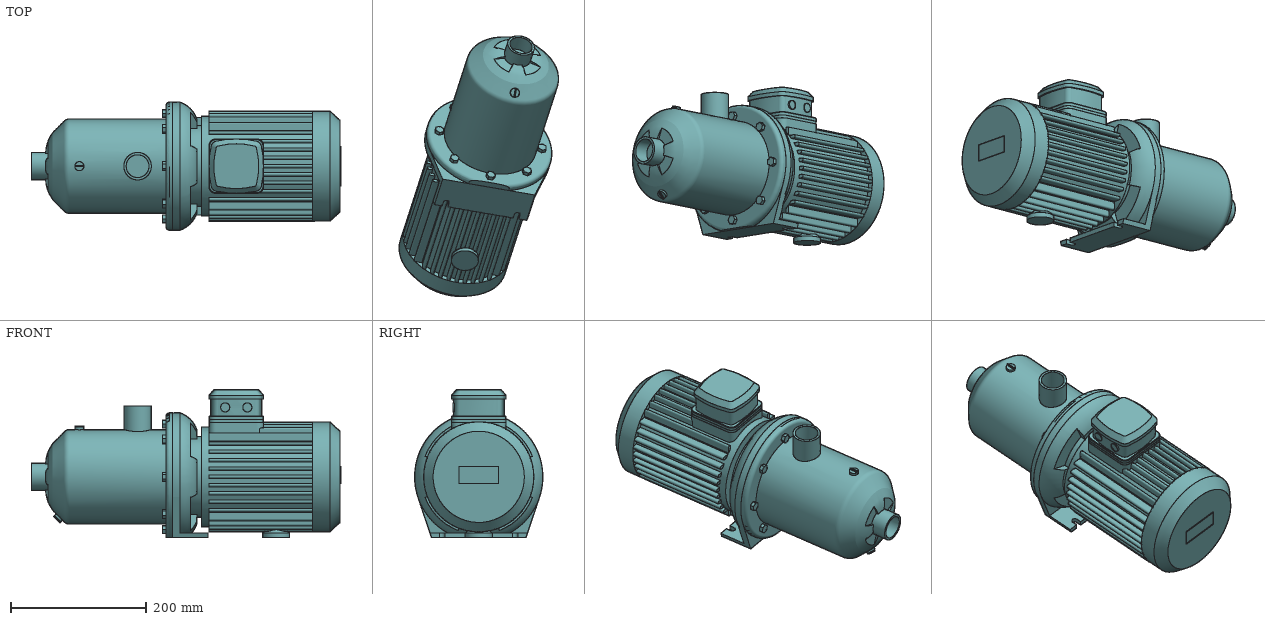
import cadquery as cq
import math


SLOPE_45 = math.radians(45)

casing_radius = 140 / 2
crown_start_x = 20.9
crown_middle_x = 25.2
crown_middle_radius = 39
crown_end_x = 31.7
crown_end_radius = 50
shoulder_fillet = 10
pipe_radius = 40.7 / 2
bore_radius = 33.7 / 2
outlet_x = 157
outlet_top_z = 105

recess_floor_x = 24.5
recess_radius = 40
recess_start_angle = 20
recess_end_angle = 70
recess_count = 4

plug_diameter = 13.5
plug_height = 3.5
plug_rib_width = 1.6
plug_rib_height = 2
fill_plug_x = 70.8
drain_plug_radius = 59.5

flange_radius = 190 / 2
flange_x = 199
flange_thickness = 9.5
flange_fillet = 5.5
joint_x = flange_x + flange_thickness
base_z = -90

screw_count = 8
screw_circle_radius = 78
screw_corner_diameter = 13.5
screw_head_height = 5.5

lantern_rim_thickness = 11
dome_start_x = joint_x + lantern_rim_thickness
dome_end_x = 244.7
dome_end_radius = 70
dome_arc_radius = 41
window_floor_x = 235.3
window_start_angle = 21
window_end_angle = 69
window_count = 4
neck_radius = 120 / 2
foot_half_width = 70
foot_thickness = 7
foot_end_x = 261.5
foot_slot_y = 54
foot_slot_width = 8.5
foot_slot_round_x = 253.5

motor_flange_x = 251.5
fins_start_x = 262.4
fins_end_x = 415.6
core_radius = 148 / 2
motor_radius = 163 / 2
fan_cover_chamfer_x = 441.8
motor_end_x = 456.8
motor_end_radius = 67.5
fin_thickness = 5.2
fin_pitch = 12.3
fins_each_side = 4

overall_length = 458
plate_width = 58
plate_height = 25
plate_z = 2.7

button_x = 362
button_radius = 40 / 2
button_shoulder_z = -83.3
button_chamfer = 8

box_x = 303
box_base_width = 80.6
box_base_corner = 10
box_base_top_z = 90
box_base_chamfer = 1
seam_bottom_z = 80.6
seam_top_z = 84.7
seam_depth = 0.3
box_wall_top_z = 115
lid_edge_top_z = 120.7
lid_top_z = 129
box_corner_start = 27
box_wall_half_width = 37.8
box_wall_corner_edge = 34.8
lid_half_width = 40.5
lid_corner_edge = 37.5
lid_top_corner_start = 26
lid_top_half_width = 33.2
lid_top_corner_edge = 30
gland_diameter = 13.5
gland_spacing = 32.7
gland_z = 102.8
gland_face_y = -38.4


def disc(radius, start_x, end_x):
    """Cylinder on the shaft axis between two X positions."""
    return cq.Workplane("YZ", origin=(start_x, 0, 0)).circle(radius).extrude(end_x - start_x)


def ring_of_sectors(count, start_angle, end_angle, radius, start_x, end_x):
    """Equal sectors of a disc; the angles give the first one and the others are turned from it."""
    corners = [(0, 0)]
    for angle in (start_angle, end_angle):
        direction = math.radians(angle)
        corners.append((2 * radius * math.cos(direction), 2 * radius * math.sin(direction)))
    wedge = cq.Workplane("YZ", origin=(start_x, 0, 0)).polyline(corners).close().extrude(end_x - start_x)
    sector = wedge.intersect(disc(radius, start_x, end_x))
    sectors = sector
    for index in range(1, count):
        sectors = sectors.add(sector.rotate((0, 0, 0), (1, 0, 0), index * 360 / count))
    return sectors.combine()


def trim_at_base(shape):
    """Cut off whatever hangs below the standing surface."""
    below_base = cq.Workplane("XY", origin=(joint_x, 0, base_z - flange_radius)).box(
        2 * flange_radius, 2 * flange_radius, 2 * flange_radius
    )
    return shape.cut(below_base)



def make_casing_shell():
    """Domed crown, 45 degree cone, rounded shoulder and long cylinder."""
    fillet_drop = shoulder_fillet * (1 - math.cos(SLOPE_45))
    cone_end_radius = casing_radius - fillet_drop
    cone_end_x = crown_end_x + cone_end_radius - crown_end_radius
    shoulder_x = cone_end_x + shoulder_fillet * math.sin(SLOPE_45)
    half_turn = SLOPE_45 / 2
    fillet_middle = (
        shoulder_x - shoulder_fillet * math.sin(half_turn),
        casing_radius - shoulder_fillet * (1 - math.cos(half_turn)),
    )
    return (
        cq.Workplane("XY")
        .moveTo(crown_start_x, 0)
        .lineTo(crown_start_x, pipe_radius)
        .threePointArc((crown_middle_x, crown_middle_radius), (crown_end_x, crown_end_radius))
        .lineTo(cone_end_x, cone_end_radius)
        .threePointArc(fillet_middle, (shoulder_x, casing_radius))
        .lineTo(joint_x, casing_radius)
        .lineTo(joint_x, 0)
        .close()
        .revolve(360, (0, 0, 0), (1, 0, 0))
    )


def make_plug():
    """Round plug standing on Z = 0, with a grip rib along X; its lower half sinks into the casing."""
    head = cq.Workplane("XY", origin=(0, 0, -plug_height)).circle(plug_diameter / 2).extrude(2 * plug_height)
    rib = (
        cq.Workplane("XY", origin=(0, 0, plug_height))
        .rect(plug_diameter, plug_rib_width)
        .extrude(plug_rib_height)
        .intersect(cq.Workplane("XY").circle(plug_diameter / 2).extrude(2 * plug_height))
    )
    return head.union(rib)


def make_casing():
    recesses = ring_of_sectors(
        recess_count, recess_start_angle, recess_end_angle, recess_radius, 0, recess_floor_x
    )
    casing = make_casing_shell().cut(recesses)

    flange = disc(flange_radius, flange_x, joint_x).faces("<X").edges().fillet(flange_fillet)
    casing = casing.union(trim_at_base(flange))

    inlet = disc(pipe_radius, 0, recess_floor_x)
    outlet = cq.Workplane("XY", origin=(outlet_x, 0, 0)).circle(pipe_radius).extrude(outlet_top_z)
    casing = casing.union(inlet).union(outlet)
    inlet_bore = disc(bore_radius, 0, recess_floor_x)
    outlet_bore = (
        cq.Workplane("XY", origin=(outlet_x, 0, casing_radius - pipe_radius / 2))
        .circle(bore_radius)
        .extrude(outlet_top_z)
    )
    casing = casing.cut(inlet_bore).cut(outlet_bore)

    fill_plug = make_plug().translate((fill_plug_x, 0, casing_radius))
    drain_plug_x = crown_end_x + drain_plug_radius - crown_end_radius
    drain_plug = (
        make_plug()
        .rotate((0, 0, 0), (0, 1, 0), -135)
        .translate((drain_plug_x, 0, -drain_plug_radius))
    )
    return casing.union(fill_plug).union(drain_plug)



def make_screw(index):
    """Hexagon head on the flange face, one corner pointing along the screw circle."""
    return (
        cq.Workplane("YZ", origin=(flange_x - screw_head_height, 0, 0))
        .center(0, screw_circle_radius)
        .polygon(6, screw_corner_diameter)
        .extrude(screw_head_height)
        .rotate((0, 0, 0), (1, 0, 0), index * 360 / screw_count)
    )



def make_lantern():
    """Rim, rounded dome with four diagonal windows, and neck towards the motor."""
    dome = (
        cq.Workplane("XY")
        .moveTo(joint_x, 0)
        .lineTo(joint_x, flange_radius)
        .lineTo(dome_start_x, flange_radius)
        .radiusArc((dome_end_x, dome_end_radius), dome_arc_radius)
        .lineTo(dome_end_x, 0)
        .close()
        .revolve(360, (0, 0, 0), (1, 0, 0))
    )
    windows = ring_of_sectors(
        window_count, window_start_angle, window_end_angle, flange_radius, window_floor_x, dome_end_x
    )
    return trim_at_base(dome.cut(windows)).union(disc(neck_radius, joint_x, motor_flange_x))


def make_foot():
    """Angle plate tangent to the rim; its flat part has two open slots for the anchor bolts."""
    corner_distance = math.hypot(foot_half_width, base_z)
    corner_angle = math.atan2(base_z, foot_half_width)
    tangent_angle = corner_angle + math.acos(flange_radius / corner_distance)
    tangent_y = flange_radius * math.cos(tangent_angle)
    tangent_z = flange_radius * math.sin(tangent_angle)
    tapered_block = (
        cq.Workplane("YZ", origin=(joint_x, 0, 0))
        .polyline([
            (-foot_half_width, base_z),
            (foot_half_width, base_z),
            (tangent_y, tangent_z),
            (-tangent_y, tangent_z),
        ])
        .close()
        .extrude(foot_end_x - joint_x)
    )
    above_flat_part = cq.Workplane("XY", origin=(dome_start_x, 0, base_z + foot_thickness)).box(
        foot_end_x - dome_start_x, 2 * flange_radius, flange_radius, centered=(False, True, False)
    )
    foot = tapered_block.cut(above_flat_part)
    for side in (-1, 1):
        slot_end = cq.Workplane("XY", origin=(foot_slot_round_x, side * foot_slot_y, base_z))
        round_end = slot_end.circle(foot_slot_width / 2).extrude(foot_thickness)
        straight = slot_end.box(
            foot_end_x - foot_slot_round_x, foot_slot_width, foot_thickness, centered=(False, True, False)
        )
        foot = foot.cut(round_end).cut(straight)
    return foot


def make_fins():
    """Parallel round-tipped fins, flat ones at the sides and upright ones above and below.

    The room in front of the middle of the terminal box, between its side walls, stays free.
    """
    fin_length = fins_end_x - fins_start_x
    plane = cq.Workplane("YZ", origin=(fins_start_x, 0, 0))
    fins = cq.Workplane("YZ")
    for index in range(-fins_each_side, fins_each_side + 1):
        offset = index * fin_pitch
        span = 2 * math.sqrt(motor_radius**2 - offset**2)
        flat_fin = plane.center(0, offset).slot2D(span, fin_thickness).extrude(fin_length)
        upright_fin = plane.center(offset, 0).slot2D(span, fin_thickness, 90).extrude(fin_length)
        fins = fins.union(flat_fin).union(upright_fin)
    box_room = cq.Workplane("XY", origin=(fins_start_x, 0, 0)).box(
        box_x - fins_start_x, box_base_width, motor_radius, centered=(False, True, False)
    )
    return fins.cut(box_room)


def make_motor():
    core = disc(core_radius, motor_flange_x, fins_end_x)
    fan_cover = (
        cq.Workplane("XY")
        .polyline([
            (fins_end_x, 0),
            (fins_end_x, motor_radius),
            (fan_cover_chamfer_x, motor_radius),
            (motor_end_x, motor_end_radius),
            (motor_end_x, 0),
        ])
        .close()
        .revolve(360, (0, 0, 0), (1, 0, 0))
    )
    name_plate = (
        cq.Workplane("YZ", origin=(motor_end_x, 0, plate_z))
        .rect(plate_width, plate_height)
        .extrude(overall_length - motor_end_x)
    )
    button = (
        cq.Workplane("XY", origin=(button_x, 0, base_z))
        .circle(button_radius)
        .extrude(button_shoulder_z + button_chamfer - base_z)
        .faces(">Z")
        .chamfer(button_chamfer)
    )
    return core.union(make_fins()).union(fan_cover).union(name_plate).union(button)


def bulged_outline(plane, half_width, corner_edge, corner_centre):
    """Square outline with bowed sides and round corners.

    The bowed sides reach half_width in the middle and fall back to corner_edge at the corners,
    whose arcs are centred corner_centre away from both middle lines.
    """
    corner_middle = corner_centre + (corner_edge - corner_centre) * math.cos(SLOPE_45)
    outline = plane.moveTo(-corner_centre, -corner_edge)
    along, out = (1, 0), (0, -1)

    def place(distance_along, distance_out):
        return (
            along[0] * distance_along + out[0] * distance_out,
            along[1] * distance_along + out[1] * distance_out,
        )

    for _ in range(4):
        outline = outline.threePointArc(place(0, half_width), place(corner_centre, corner_edge))
        outline = outline.threePointArc(
            place(corner_middle, corner_middle), place(corner_edge, corner_centre)
        )
        along, out = (-out[0], -out[1]), along
    return outline.close()


def make_terminal_box():
    """Square base with a seam, bowed walls with two cable entries, and a bevelled lid."""
    base = (
        cq.Workplane("XY")
        .rect(box_base_width, box_base_width)
        .extrude(box_base_top_z)
        .edges("|Z")
        .fillet(box_base_corner)
        .faces(">Z")
        .chamfer(box_base_chamfer)
    )
    seam_inner_width = box_base_width - 2 * seam_depth
    seam = (
        cq.Workplane("XY", origin=(0, 0, seam_bottom_z))
        .rect(2 * box_base_width, 2 * box_base_width)
        .extrude(seam_top_z - seam_bottom_z)
        .cut(
            cq.Workplane("XY")
            .rect(seam_inner_width, seam_inner_width)
            .extrude(box_base_top_z)
            .edges("|Z")
            .fillet(box_base_corner - seam_depth)
        )
    )
    base = base.cut(seam)
    walls_plane = cq.Workplane("XY", origin=(0, 0, core_radius))
    walls = bulged_outline(
        walls_plane, box_wall_half_width, box_wall_corner_edge, box_corner_start
    ).extrude(box_wall_top_z - core_radius)
    lid_plane = cq.Workplane("XY", origin=(0, 0, box_wall_top_z))
    lid_edge = bulged_outline(
        lid_plane, lid_half_width, lid_corner_edge, box_corner_start
    ).extrude(lid_edge_top_z - box_wall_top_z)
    bevel_plane = cq.Workplane("XY", origin=(0, 0, lid_edge_top_z))
    bevel_foot = bulged_outline(bevel_plane, lid_half_width, lid_corner_edge, box_corner_start)
    bevel_outlines = bulged_outline(
        bevel_foot.workplane(offset=lid_top_z - lid_edge_top_z),
        lid_top_half_width,
        lid_top_corner_edge,
        lid_top_corner_start,
    )
    bevel = bevel_outlines.loft(ruled=True)
    box = base.union(walls).union(lid_edge).union(bevel)
    for side in (-1, 1):
        gland = (
            cq.Workplane("XZ", origin=(side * gland_spacing / 2, 0, gland_z))
            .circle(gland_diameter / 2)
            .extrude(-gland_face_y)
        )
        box = box.union(gland)
    return box.translate((box_x, 0, 0))


casing = make_casing()
motor_unit = make_lantern().union(make_foot()).union(make_motor())
motor_unit = motor_unit.union(make_terminal_box(), clean=False)
screws = [make_screw(index) for index in range(screw_count)]

result = cq.Compound.makeCompound([casing.val(), motor_unit.val(), *[screw.val() for screw in screws]])